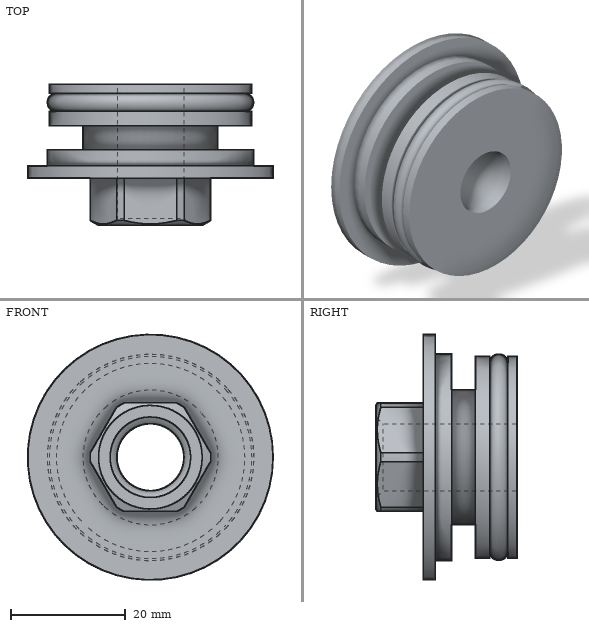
import cadquery as cq
import math

nut_length = 8.2
flange_thickness = 2.15
step_length = 2.82
neck_length = 4.15
front_land_length = 2.53
groove_width = 3.12
back_land_length = 1.63

flange_diameter = 42.8
step_diameter = 36.05
neck_diameter = 23.55
land_diameter = 35.25
ring_outer_diameter = 35.95

across_flats = 18.9
nut_corner_diameter = 21.0
nut_face_diameter = 18.05
nut_chamfer_length = 0.85
bore_diameter = 11.65
bore_mouth_diameter = 14.05
bore_chamfer_depth = (bore_mouth_diameter - bore_diameter) / 2

nut_front = -nut_length
step_front = flange_thickness
neck_front = step_front + step_length
front_land_front = neck_front + neck_length
groove_front = front_land_front + front_land_length
back_land_front = groove_front + groove_width
back = back_land_front + back_land_length

ring_tube_radius = groove_width / 2
ring_center_radius = ring_outer_diameter / 2 - ring_tube_radius


def disc(diameter, start, length):
    """Cylinder on the Y axis running from start toward +Y."""
    return cq.Workplane("XZ", origin=(0, start, 0)).circle(diameter / 2).extrude(-length)


def revolve_profile(points):
    """Revolve a closed (radius, Y) outline about the Y axis."""
    return cq.Workplane("XY").polyline(points).close().revolve(360, (0, 0, 0), (0, 1, 0))


def make_nut():
    """Hexagon with flats facing +Z and -Z, rounded corners and a chamfered front."""
    sharp_corner_diameter = across_flats / math.cos(math.pi / 6)
    hexagon = cq.Workplane("XZ").polygon(6, sharp_corner_diameter).extrude(nut_length)
    envelope = revolve_profile([
        (0, nut_front),
        (nut_face_diameter / 2, nut_front),
        (nut_corner_diameter / 2, nut_front + nut_chamfer_length),
        (nut_corner_diameter / 2, 0),
        (0, 0),
    ])
    return hexagon.intersect(envelope)


def make_body():
    """Flange, locating step, neck and the two lands beside the ring groove."""
    body = disc(flange_diameter, 0, flange_thickness)
    body = body.union(disc(step_diameter, step_front, step_length))
    body = body.union(disc(neck_diameter, neck_front, neck_length))
    body = body.union(disc(land_diameter, front_land_front, front_land_length))
    body = body.union(disc(2 * ring_center_radius, groove_front, groove_width))
    return body.union(disc(land_diameter, back_land_front, back_land_length))


def make_ring():
    """Round-section sealing ring seated in the groove."""
    ring_center_y = groove_front + groove_width / 2
    section = cq.Workplane("XY").center(ring_center_radius, ring_center_y).circle(ring_tube_radius)
    return section.revolve(360, (-ring_center_radius, 0, 0), (-ring_center_radius, 1, 0))


def make_bore():
    """Through bore with a conical mouth at the nut end."""
    return revolve_profile([
        (0, nut_front),
        (bore_mouth_diameter / 2, nut_front),
        (bore_diameter / 2, nut_front + bore_chamfer_depth),
        (bore_diameter / 2, back),
        (0, back),
    ])


result = make_body().union(make_nut()).union(make_ring()).cut(make_bore())